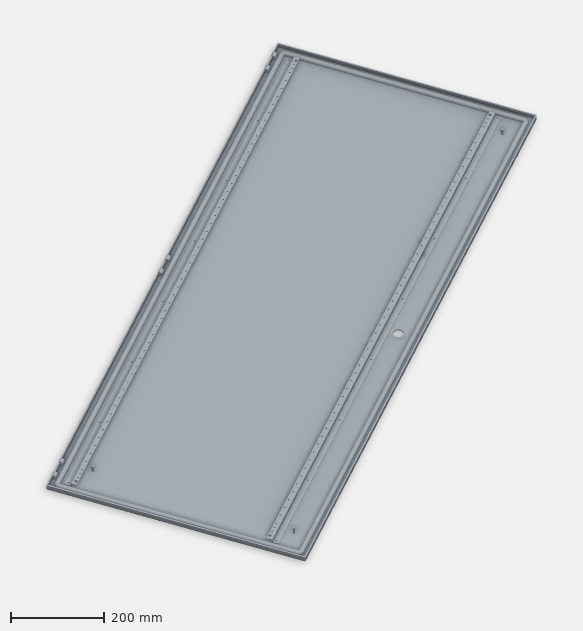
import cadquery as cq

panel_width = 597.0
panel_length = 1395.0
panel_height = 14.0
sheet = 3.0
edge_radius = 3.0
half_width = panel_width / 2
half_length = panel_length / 2

lock_x = 245.0
lock_hole_diameter = 22.0
stud_diameter = 5.0
stud_foot_diameter = 7.0
stud_foot_height = 1.0
stud_top = 18.0
stud_places = [(lock_x, 628.0), (lock_x, -628.0), (-223.0, -612.0)]

gasket_radius = 6.7
gasket_width = 561.0
gasket_length = 1363.0
gasket_corner_radius = 7.0

rail_middle_x = -20.0
rail_gap = 437.0
rail_length = 1345.0
rail_width = 28.0
rail_height = 10.0
rail_sheet = 1.7
rail_plate_width = 14.0
rail_bend_radius = 3.0
row_hole_diameter = 3.5
row_hole_inset = 4.9
row_hole_span = 1300.0
row_hole_intervals = 52
row_hole_pitch = row_hole_span / row_hole_intervals
end_hole_diameter = 7.0
flange_hole_diameter = 5.0
flange_hole_span = 1331.0
flange_hole_count = 8
flange_hole_pitch = flange_hole_span / (flange_hole_count - 1)

hinge_places = [-640.0, 0.0, 640.0]
barrel_diameter = 11.0
barrel_length = 13.0
barrel_spacing = 42.0
barrel_base = 5.0
strap_thickness = 1.0


def barrel_centres(hinge_y):
    """Y of the two barrels of the hinge centred at hinge_y."""
    return [hinge_y - barrel_spacing / 2, hinge_y + barrel_spacing / 2]


def make_panel():
    tray = (
        cq.Workplane("XY")
        .box(panel_width, panel_length, panel_height, centered=(True, True, False))
        .edges("|Z or <Z")
        .fillet(edge_radius)
    )
    cavity = (
        cq.Workplane("XY", origin=(0, 0, sheet))
        .rect(panel_width - 2 * sheet, panel_length - 2 * sheet)
        .extrude(panel_height)
    )
    lock_hole = cq.Workplane("XY").center(lock_x, 0).circle(lock_hole_diameter / 2).extrude(panel_height)
    panel = tray.cut(cavity).cut(lock_hole)
    for hinge_y in hinge_places:
        for barrel_y in barrel_centres(hinge_y):
            notch = cq.Workplane("XY", origin=(-half_width, barrel_y, barrel_base)).box(
                2 * sheet, barrel_length, panel_height, centered=(True, True, False)
            )
            panel = panel.cut(notch)
    return panel


def make_gasket():
    """A half disc swept around the lower outline of a round-cornered block."""
    block = (
        cq.Workplane("XY", origin=(0, 0, sheet))
        .rect(gasket_width, gasket_length)
        .extrude(gasket_radius)
        .edges("|Z")
        .fillet(gasket_corner_radius)
    )
    path = cq.Workplane(block.faces("<Z").wires().val())
    return (
        cq.Workplane("XZ", origin=(gasket_width / 2, 0, sheet))
        .moveTo(-gasket_radius, 0)
        .threePointArc((0, gasket_radius), (gasket_radius, 0))
        .close()
        .sweep(path)
    )


def drill(x, y_places, diameter):
    """Upright cylinders in a line along Y, to be cut from a rail."""
    return (
        cq.Workplane("XY", origin=(x, 0, sheet))
        .pushPoints([(0, y) for y in y_places])
        .circle(diameter / 2)
        .extrude(rail_height)
    )


def make_rail(side):
    """side is -1 for the rail near the hinges and +1 for the rail near the lock."""
    inner_x = rail_middle_x + side * rail_gap / 2
    web_x = inner_x + side * rail_plate_width
    outer_x = inner_x + side * rail_width
    floor = sheet
    top = floor + rail_height
    section = [
        (inner_x, top),
        (web_x, top),
        (web_x, floor + rail_sheet),
        (outer_x, floor + rail_sheet),
        (outer_x, floor),
        (web_x - side * rail_sheet, floor),
        (web_x - side * rail_sheet, top - rail_sheet),
        (inner_x, top - rail_sheet),
    ]
    rail = cq.Workplane("XZ").polyline(section).close().extrude(rail_length / 2, both=True)
    rail = rail.edges(cq.selectors.NearestToPointSelector((web_x, 0, top))).fillet(rail_bend_radius)

    row_places = [i * row_hole_pitch - row_hole_span / 2 for i in range(row_hole_intervals + 1)]
    inner_place = (row_hole_span - row_hole_pitch) / 2
    outer_place = (row_hole_span + row_hole_pitch) / 2
    row_x = inner_x + side * row_hole_inset
    row_holes = drill(row_x, row_places + [-inner_place, inner_place], row_hole_diameter)
    end_holes = drill(row_x, [-outer_place, outer_place], end_hole_diameter)

    flange_x = (web_x + outer_x) / 2
    flange_places = [i * flange_hole_pitch - flange_hole_span / 2 for i in range(flange_hole_count)]
    flange_holes = drill(flange_x, flange_places, flange_hole_diameter)
    return rail.cut(row_holes).cut(end_holes).cut(flange_holes)


def make_stud(x, y):
    return (
        cq.Workplane("XY", origin=(x, y, sheet))
        .circle(stud_foot_diameter / 2)
        .extrude(stud_foot_height)
        .faces(">Z")
        .workplane()
        .circle(stud_diameter / 2)
        .extrude(stud_top - sheet - stud_foot_height)
    )


def make_hinge(hinge_y):
    """Two round barrels along Y, joined by a flat strap against the inside of the wall."""
    strap = cq.Workplane("XY", origin=(-half_width + sheet, hinge_y, sheet)).box(
        strap_thickness, barrel_spacing - barrel_length, panel_height - sheet, centered=(False, True, False)
    )
    hinge = strap
    barrel_radius = barrel_diameter / 2
    for barrel_y in barrel_centres(hinge_y):
        centre = (barrel_radius - half_width, barrel_y, barrel_base + barrel_radius)
        end_plane = cq.Plane(origin=centre, xDir=(0, 0, 1), normal=(0, 1, 0))
        barrel = cq.Workplane(end_plane).circle(barrel_radius).extrude(barrel_length / 2, both=True)
        hinge = hinge.union(barrel)
    return hinge


panel = make_panel()
gasket = make_gasket()
rails = [make_rail(side) for side in (-1, 1)]
studs = [make_stud(x, y) for x, y in stud_places]
hinges = [make_hinge(y) for y in hinge_places]

bodies = [panel, gasket, *rails, *studs, *hinges]
result = cq.Compound.makeCompound([body.val() for body in bodies])